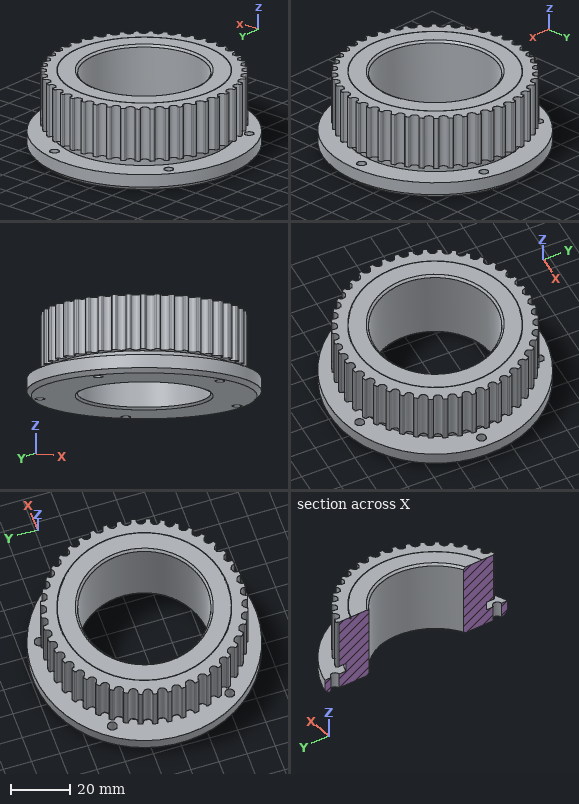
import cadquery as cq
import math


total_height = 28.0
flange_height = 6.0
neck_height = 3.0
ring_bottom = flange_height + neck_height
ring_height = total_height - ring_bottom

flange_diameter = 79.3
flange_chamfer = 1.5
neck_diameter = 62.7

bore_diameter = 45.0
bore_chamfer = 0.8

tooth_count = 44
tooth_tip_diameter = 70.0
tooth_depth = 2.1
tooth_gap_width = 3.1
tooth_tip_fillet = 0.4

face_groove_inner_diameter = 58.8
face_groove_outer_diameter = 59.0
face_groove_depth = 0.8

hole_count = 5
hole_diameter = 3.25
hole_circle_diameter = 71.0


def make_flange():
    """Disc with a chamfered lower rim and a circle of through holes."""
    disc = cq.Workplane("XY").circle(flange_diameter / 2).extrude(flange_height)
    disc = disc.faces("<Z").edges().chamfer(flange_chamfer)
    holes = (
        cq.Workplane("XY")
        .polarArray(hole_circle_diameter / 2, 0, 360, hole_count)
        .circle(hole_diameter / 2)
        .extrude(flange_height)
    )
    return disc.cut(holes)


def make_neck():
    """Plain cylinder between the flange and the toothed ring."""
    return cq.Workplane("XY").workplane(offset=flange_height).circle(neck_diameter / 2).extrude(neck_height)


def make_toothed_ring():
    """Cylinder with round-bottomed tooth gaps and rounded tooth tips."""
    tip_radius = tooth_tip_diameter / 2
    root_radius = tip_radius - tooth_depth
    gap_length = tooth_depth + tooth_gap_width
    plane = cq.Workplane("XY").workplane(offset=ring_bottom)
    blank = plane.circle(tip_radius).extrude(ring_height)
    gaps = (
        plane.polarArray(root_radius + gap_length / 2, 0, 360, tooth_count)
        .slot2D(gap_length, tooth_gap_width)
        .extrude(ring_height)
    )
    ring = blank.cut(gaps)

    corner_limit = tip_radius - tooth_tip_fillet / 2
    corners = ring.edges("|Z").filter(lambda edge: math.hypot(*edge.Center().toTuple()[:2]) > corner_limit)
    return corners.fillet(tooth_tip_fillet)


def make_bore():
    """Through bore that widens in a chamfer at both ends, made by turning its half section about Z."""
    bore_radius = bore_diameter / 2
    mouth_radius = bore_radius + bore_chamfer
    half_section = [
        (0, 0),
        (mouth_radius, 0),
        (bore_radius, bore_chamfer),
        (bore_radius, total_height - bore_chamfer),
        (mouth_radius, total_height),
        (0, total_height),
    ]
    return cq.Workplane("XZ").polyline(half_section).close().revolve(360, (0, 0), (0, 1))


def make_face_groove():
    """Thin annulus to be cut out of the top face."""
    return (
        cq.Workplane("XY")
        .workplane(offset=total_height - face_groove_depth)
        .circle(face_groove_outer_diameter / 2)
        .circle(face_groove_inner_diameter / 2)
        .extrude(face_groove_depth)
    )


body = make_flange().union(make_neck()).union(make_toothed_ring())
result = body.cut(make_bore()).cut(make_face_groove())